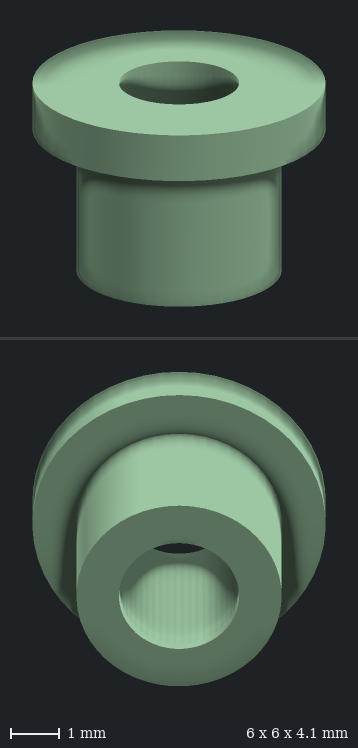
import cadquery as cq

flange_diameter = 6.0
sleeve_diameter = 4.2
bore_diameter = 2.46
total_height = 4.1
flange_thickness = 1.0
sleeve_length = total_height - flange_thickness

sleeve = cq.Workplane("XY").circle(sleeve_diameter / 2).extrude(sleeve_length)

flanged_body = (
    sleeve.faces(">Z")
    .workplane()
    .circle(flange_diameter / 2)
    .extrude(flange_thickness)
)

bore = cq.Workplane("XY").circle(bore_diameter / 2).extrude(total_height)

result = flanged_body.cut(bore)